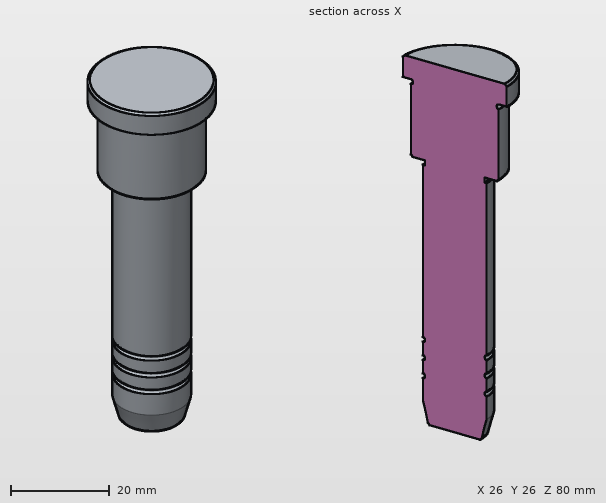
import cadquery as cq
import math

total_length = 80.0
edge_chamfer = 0.5

head_radius = 13.0
head_height = 5.0

body_radius = 11.0
body_bottom_depth = 22.0

shank_radius = 8.0
neck_radius = 7.5
neck_height = 1.0

groove_radius = 0.5
head_groove_position = head_height + groove_radius
tip_groove_count = 3
tip_groove_spacing = 4.0
first_tip_groove_position = 61.5

tip_height = 5.0
tip_angle = math.radians(15.0)


def revolve_outline(outline):
    """Close an outline of (radius, z) points and revolve it around the Z axis."""
    return outline.close().revolve(360, (0, 0, 0), (0, 1, 0), clean=False)


def cylinder(radius, top_depth, bottom_depth):
    """Coaxial cylinder between two depths below the head's top face."""
    height = bottom_depth - top_depth
    return cq.Workplane("XY").workplane(offset=-bottom_depth).circle(radius).extrude(height)


def make_head():
    return cylinder(head_radius, 0, head_height).faces(">Z").edges().chamfer(edge_chamfer)


def make_body():
    body = cylinder(body_radius, head_height, body_bottom_depth)
    return body.faces("<Z").edges().chamfer(edge_chamfer)


def make_shank():
    """Neck, straight shank and tapered tip with a chamfered end."""
    neck_bottom_depth = body_bottom_depth + neck_height
    taper_top_depth = total_length - tip_height
    chamfer_top_depth = total_length - edge_chamfer
    tip_radius = shank_radius - (tip_height - edge_chamfer) * math.tan(tip_angle)
    outline = cq.Workplane("XZ").polyline([
        (0, -body_bottom_depth),
        (neck_radius, -body_bottom_depth),
        (neck_radius, -neck_bottom_depth),
        (shank_radius, -neck_bottom_depth),
        (shank_radius, -taper_top_depth),
        (tip_radius, -chamfer_top_depth),
        (tip_radius - edge_chamfer, -total_length),
        (0, -total_length),
    ])
    return revolve_outline(outline)


def ring_groove(surface_radius, position):
    """Half-round ring, made of two quarter arcs, centred at the given depth below the top."""
    bottom_point = (surface_radius - groove_radius, -position)
    outline = (
        cq.Workplane("XZ")
        .moveTo(surface_radius, -position + groove_radius)
        .radiusArc(bottom_point, -groove_radius)
        .radiusArc((surface_radius, -position - groove_radius), -groove_radius)
    )
    return revolve_outline(outline)


result = make_head().union(make_body()).union(make_shank())
result = result.cut(ring_groove(body_radius, head_groove_position), clean=False)
for index in range(tip_groove_count):
    groove_position = first_tip_groove_position + index * tip_groove_spacing
    result = result.cut(ring_groove(shank_radius, groove_position), clean=False)